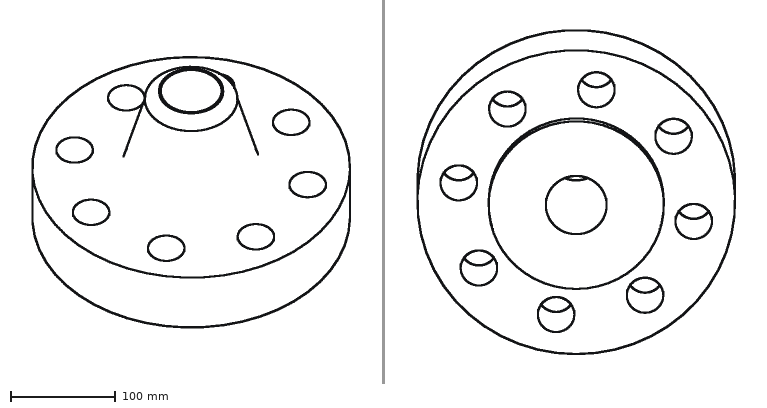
import cadquery as cq
import math

flange_diameter = 304.8
flange_thickness = 66.55

face_diameter = 168.1
face_height = 9.52

bolt_count = 8
bolt_circle_diameter = 228.6
bolt_hole_diameter = 35.0

total_height = 177.67
hub_base_diameter = 133.35
hub_fillet_radius = 3.0
pipe_diameter = 88.9
bore_diameter = 58.4
root_face_width = 1.6
bevel_angle = 37.5
land_height = 5.0

flange_top = face_height + flange_thickness
root_face_radius = bore_diameter / 2 + root_face_width
bevel_height = (pipe_diameter / 2 - root_face_radius) * math.tan(math.radians(bevel_angle))
land_top = total_height - bevel_height
land_bottom = land_top - land_height


def make_flange():
    raised_face = cq.Workplane("XY").circle(face_diameter / 2).extrude(face_height)
    disc = (
        cq.Workplane("XY")
        .workplane(offset=face_height)
        .circle(flange_diameter / 2)
        .extrude(flange_thickness)
    )
    return disc.union(raised_face)


def make_hub():
    """Revolve the hub's half section, given as radius and height, about Z."""
    return (
        cq.Workplane("XZ")
        .moveTo(0, flange_top)
        .lineTo(hub_base_diameter / 2, flange_top)
        .lineTo(pipe_diameter / 2, land_bottom)
        .lineTo(pipe_diameter / 2, land_top)
        .lineTo(root_face_radius, total_height)
        .lineTo(0, total_height)
        .close()
        .revolve(360, (0, 0, 0), (0, 1, 0))
    )


def round_hub_base(body):
    """Fillet the circle where the hub meets the top of the disc."""
    reach = hub_base_diameter / 2 + hub_fillet_radius
    base_edge = cq.selectors.BoxSelector(
        (-reach, -reach, flange_top - hub_fillet_radius),
        (reach, reach, flange_top + hub_fillet_radius),
        boundingbox=True,
    )
    return body.edges(base_edge).fillet(hub_fillet_radius)


def cut_bore(body):
    bore = cq.Workplane("XY").circle(bore_diameter / 2).extrude(total_height)
    return body.cut(bore)


def cut_bolt_holes(body):
    holes = (
        cq.Workplane("XY")
        .polarArray(bolt_circle_diameter / 2, 0, 360, bolt_count)
        .circle(bolt_hole_diameter / 2)
        .extrude(flange_top)
    )
    return body.cut(holes)


blank = make_flange().union(make_hub())
filleted_blank = round_hub_base(blank)
result = cut_bolt_holes(cut_bore(filleted_blank))